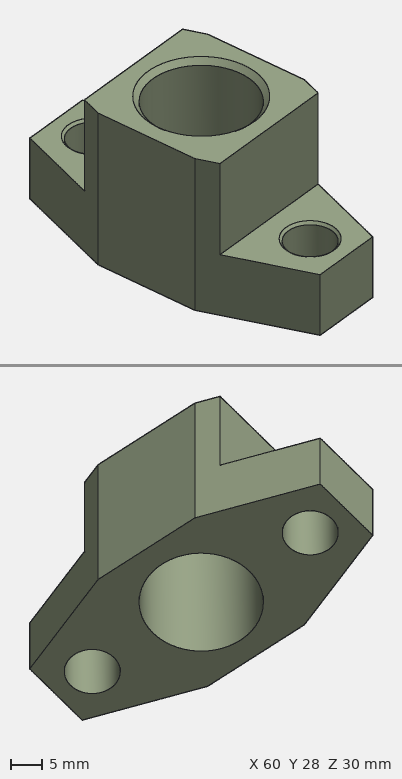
import cadquery as cq
import math

length = 60.0
width = 28.0
height = 30.0

flange_height = 12.0
flat_length = 20.0
taper_angle = 20.0
taper_run = (length - flat_length) / 2
end_width = width - 2 * taper_run * math.tan(math.radians(taper_angle))

block_length = 28.0
bore_diameter = 20.0
bore_chamfer = 1.0

hole_diameter = 9.0
hole_spacing = 45.0
hole_chamfer = 0.5


def chamfered_hole_cutter(x, top, diameter, chamfer):
    """Vertical through-hole cutter with a 45 degree chamfer at its top edge."""
    radius = diameter / 2
    return (
        cq.Workplane("XZ", origin=(x, 0, 0))
        .polyline([
            (0, 0),
            (radius, 0),
            (radius, top - chamfer),
            (radius + chamfer, top),
            (0, top),
        ])
        .close()
        .revolve(360, (0, 0, 0), (0, 1, 0))
    )


outline = [
    (-length / 2, -end_width / 2),
    (-flat_length / 2, -width / 2),
    (flat_length / 2, -width / 2),
    (length / 2, -end_width / 2),
    (length / 2, end_width / 2),
    (flat_length / 2, width / 2),
    (-flat_length / 2, width / 2),
    (-length / 2, end_width / 2),
]
body = cq.Workplane("XY").polyline(outline).close().extrude(height)

flange_envelope = cq.Workplane("XY").box(length, width, flange_height, centered=(True, True, False))
block_envelope = cq.Workplane("XY").box(block_length, width, height, centered=(True, True, False))
body = body.intersect(flange_envelope.union(block_envelope))

body = body.cut(chamfered_hole_cutter(0, height, bore_diameter, bore_chamfer))
for side in (-1, 1):
    hole_x = side * hole_spacing / 2
    body = body.cut(chamfered_hole_cutter(hole_x, flange_height, hole_diameter, hole_chamfer))

result = body